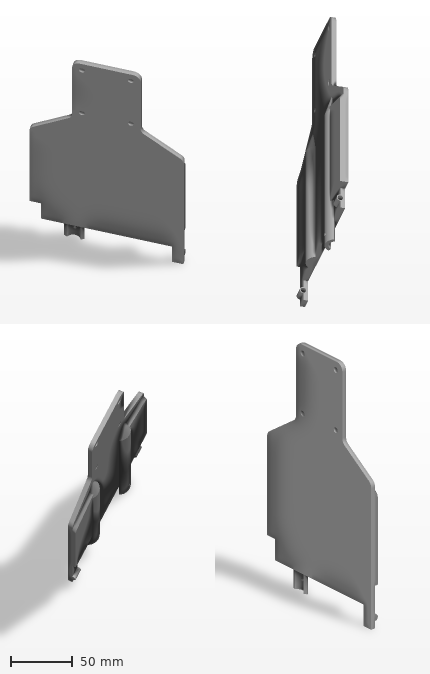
import cadquery as cq
import math

width = 130.0
height = 225.5
plate_thickness = 4.0
half_width = width / 2
neck_half_width = 28.9
neck_base_z = 155.6
shoulder_z = 130.8
top_corner_radius = 6.8
shoulder_radius = 6.8

step_height = 19.2
step_width = 9.7
body_bottom_z = step_height
left_step_z = 2 * step_height

mount_hole_diameter = 5.0
mount_spacing_x = 41.3
mount_spacing_z = 54.1
upper_mount_z = 217.7

wing_thickness = 7.0
wing_outer_z = 125.2
wing_inner_z = 136.0
wing_bevel_drop = 4.3
wing_overlap = 3.4
wing_corner_radius = 5.0

spine_radius = 9.5
spine_offset_x = 28.2
spine_top_z = 127.2
cone_slope = 3.2
bore_radius = 6.3
pin_hole_diameter = 3.0

hinge_hole_diameter = 4.5
knuckle_diameter = 6.0
hinge_hole_depth = 6.8


def block(x_min, x_max, y_min, y_max, z_min, z_max):
    size = (x_max - x_min, y_max - y_min, z_max - z_min)
    return cq.Workplane("XY").box(*size, centered=False).translate((x_min, y_min, z_min))


def x_cylinder(diameter, x_min, length, z):
    plane = cq.Workplane("YZ", origin=(x_min, plate_thickness, z))
    return plane.circle(diameter / 2).extrude(length)


def make_plate():
    outline = [
        (-half_width, left_step_z),
        (-half_width + step_width, left_step_z),
        (-half_width + step_width, body_bottom_z),
        (half_width - step_width, body_bottom_z),
        (half_width - step_width, 0),
        (half_width, 0),
        (half_width, shoulder_z),
        (neck_half_width, neck_base_z),
        (neck_half_width, height),
        (-neck_half_width, height),
        (-neck_half_width, neck_base_z),
        (-half_width, shoulder_z),
    ]
    plate = cq.Workplane("XZ").polyline(outline).close().extrude(-plate_thickness)
    neck_region = cq.selectors.BoxSelector(
        (-half_width, -2.3, height - 2.3), (half_width, wing_thickness, height + 2.3)
    )
    plate = plate.edges("|Y").edges(neck_region).fillet(top_corner_radius)
    shoulder_region = cq.selectors.BoxSelector(
        (-width, -2.3, shoulder_z - 2.3), (width, wing_thickness, neck_base_z + 2.3)
    )
    plate = plate.edges("|Y").edges(shoulder_region).fillet(shoulder_radius)
    holes = (
        cq.Workplane("XZ", origin=(0, 0, upper_mount_z - mount_spacing_z / 2))
        .rarray(mount_spacing_x, mount_spacing_z, 2, 2)
        .circle(mount_hole_diameter / 2)
        .extrude(-plate_thickness)
    )
    return plate.cut(holes)


def make_wing(side):
    """Bevelled thickening from the plate's side edge to a spine."""
    inner_x = spine_offset_x + wing_overlap

    def section(y, drop):
        points = [
            (side * half_width, left_step_z),
            (side * half_width, wing_outer_z - drop),
            (side * inner_x, wing_inner_z - drop),
            (side * inner_x, left_step_z),
        ]
        outline = cq.Workplane("XZ", origin=(0, y, 0)).polyline(points).close().val()
        corner = min(outline.Vertices(), key=lambda v: math.dist((v.X, v.Z), points[1]))
        return outline.fillet2D(wing_corner_radius, [corner])

    front = section(plate_thickness, 0)
    back = section(wing_thickness, wing_bevel_drop)
    return cq.Workplane(cq.Solid.makeLoft([front, back], True))


def make_spine(side, bottom_z):
    """Round rib with a conical upper end, kept only behind the plate."""
    cone_height = cone_slope * spine_radius
    profile = [
        (0, bottom_z),
        (spine_radius, bottom_z),
        (spine_radius, spine_top_z),
        (0, spine_top_z + cone_height),
    ]
    spine = cq.Workplane("XZ").polyline(profile).close().revolve(360, (0, 0, 0), (0, 1, 0))
    behind = block(-spine_radius, spine_radius, plate_thickness, spine_radius, 0, height)
    return spine.intersect(behind).translate((side * spine_offset_x, 0, 0))


def make_channel():
    """Open arc-shaped lug with radial lips, continuing the left spine downward."""
    lip_angle = math.asin(plate_thickness / spine_radius)
    lip_x = spine_radius * math.cos(lip_angle)
    inner_x = bore_radius * math.cos(lip_angle)
    inner_y = bore_radius * math.sin(lip_angle)
    lug = (
        cq.Workplane("XY")
        .moveTo(lip_x, plate_thickness)
        .threePointArc((0, spine_radius), (-lip_x, plate_thickness))
        .lineTo(-inner_x, inner_y)
        .threePointArc((0, bore_radius), (inner_x, inner_y))
        .close()
        .extrude(body_bottom_z)
    )
    pin_hole = (
        cq.Workplane("XZ", origin=(0, 0, body_bottom_z / 2))
        .circle(pin_hole_diameter / 2)
        .extrude(-spine_radius)
    )
    return lug.cut(pin_hole).translate((-spine_offset_x, 0, 0))


left_hinge = (-half_width + step_width, left_step_z - step_height / 2)
right_hinge = (half_width - step_width, step_height / 2)

result = make_plate()
for side in (-1, 1):
    result = result.union(make_wing(side)).union(make_spine(side, body_bottom_z))
result = result.union(make_channel())
for x, z in (left_hinge, right_hinge):
    result = result.union(x_cylinder(knuckle_diameter, x, step_width, z))
for x, z in (left_hinge, right_hinge):
    result = result.cut(x_cylinder(hinge_hole_diameter, x, hinge_hole_depth, z))